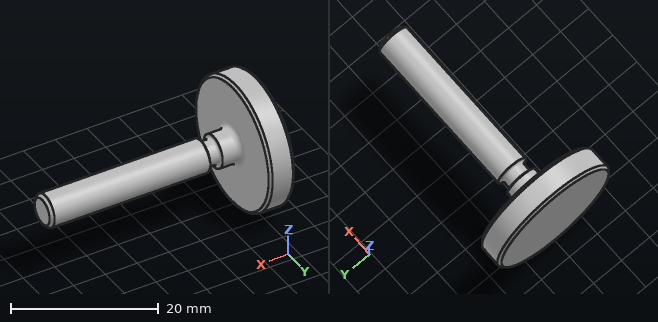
import cadquery as cq
import math

head_diameter = 20.0
head_thickness = 4.0
head_chamfer = 0.4

shank_diameter = 5.0
shank_radius = shank_diameter / 2
overall_length = 34.0
tip_chamfer = 0.5
neck_fillet = 1.0

groove_diameter = 3.7
groove_start = 7.0
groove_end = 8.94
groove_corner_radius = 0.4
groove_slope_angle = 75.0

right_angle = 90.0


def arc_point(tangent_x, floor_radius, arc_radius, angle, direction):
    """Point on an arc that leaves a floor at tangent_x and has turned by angle (degrees)."""
    turn = math.radians(angle)
    x = tangent_x + direction * arc_radius * math.sin(turn)
    return (x, floor_radius + arc_radius * (1 - math.cos(turn)))


def revolve_about_x(profile):
    return profile.close().revolve(360, (0, 0, 0), (1, 0, 0))


def make_head():
    head = cq.Workplane("YZ").circle(head_diameter / 2).extrude(head_thickness)
    return head.edges().chamfer(head_chamfer)


def make_shank():
    shank = (
        cq.Workplane("YZ", origin=(head_thickness, 0, 0))
        .circle(shank_radius)
        .extrude(overall_length - head_thickness)
    )
    return shank.faces(">X").chamfer(tip_chamfer)


def make_neck_fillet():
    """Collar with a concave quarter-round flank, joining the shank to the head."""
    collar_end = head_thickness + neck_fillet
    profile = (
        cq.Workplane("XY")
        .moveTo(head_thickness, 0)
        .lineTo(head_thickness, shank_radius + neck_fillet)
        .threePointArc(
            arc_point(collar_end, shank_radius, neck_fillet, right_angle / 2, -1),
            (collar_end, shank_radius),
        )
        .lineTo(collar_end, 0)
    )
    return revolve_about_x(profile)


def make_groove_cutter():
    """Ring to remove from the shank, with rounded corners at the groove floor."""
    floor_radius = groove_diameter / 2
    slope = math.radians(groove_slope_angle)
    slope_run = (shank_radius - floor_radius) / math.tan(slope)
    floor_start = groove_start + groove_corner_radius
    floor_end = groove_end - slope_run - groove_corner_radius * math.tan(slope / 2)

    def square_corner(angle):
        return arc_point(floor_start, floor_radius, groove_corner_radius, angle, -1)

    def sloped_corner(angle):
        return arc_point(floor_end, floor_radius, groove_corner_radius, angle, 1)

    profile = (
        cq.Workplane("XY")
        .moveTo(groove_start, shank_radius)
        .lineTo(*square_corner(right_angle))
        .threePointArc(square_corner(right_angle / 2), (floor_start, floor_radius))
        .lineTo(floor_end, floor_radius)
        .threePointArc(sloped_corner(groove_slope_angle / 2), sloped_corner(groove_slope_angle))
        .lineTo(groove_end, shank_radius)
    )
    return revolve_about_x(profile)


result = make_head().union(make_shank()).union(make_neck_fillet()).cut(make_groove_cutter())